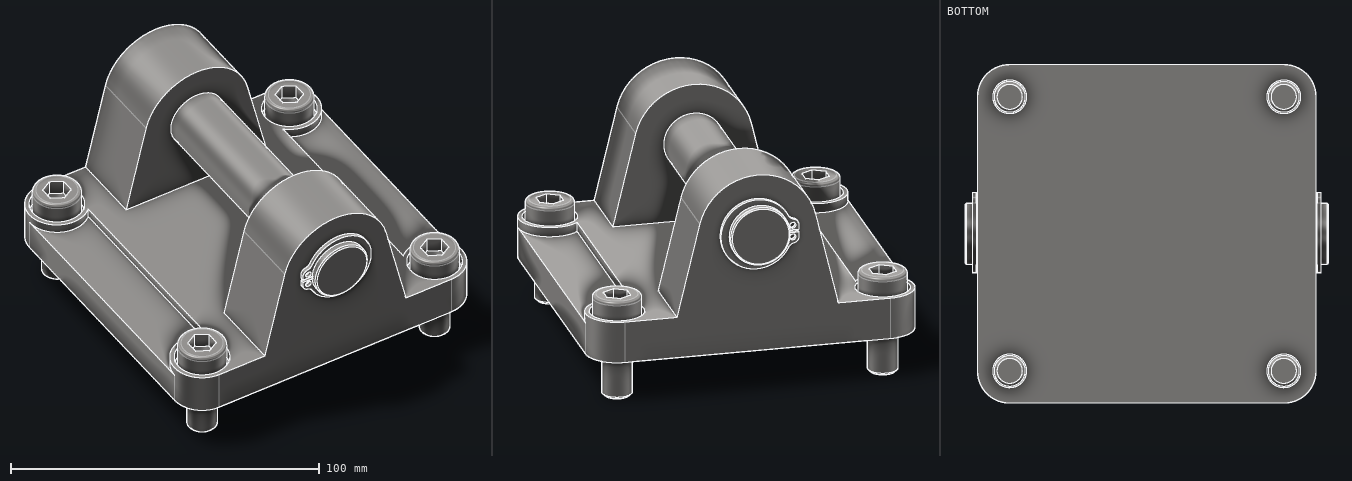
import cadquery as cq
import math


plate_side = 110.0
plate_thickness = 14.0
screw_offset = 44.5
corner_radius = plate_side / 2 - screw_offset
ledge_depth = 3.2
ledge_start = 37.3

ear_width = 25.0
ear_foot = 54.0
ear_height = 47.0
ear_top_radius = 20.0
ear_top_z = plate_thickness + ear_height
pin_z = ear_top_z - ear_top_radius

pin_length = 118.0
pin_diameter = 20.0
pin_chamfer = 0.5
groove_diameter = 19.0
groove_width = 1.3
groove_gap = 0.4
groove_start = plate_side / 2 + groove_gap

ring_diameter = 24.0
ring_shift = 0.7
ring_lug_radius = 2.1
ring_lug_y = -11.3
ring_lug_z = 2.0
ring_lug_hole = 2.0
ring_gap = 1.0
ring_neck_radius = 2.6

shank_diameter = 10.0
shank_hole_diameter = 11.0
shank_overhang = 15.0
shank_chamfer = 1.0
head_diameter = 16.0
head_height = 10.0
head_fillet = 1.2
counterbore_diameter = 18.0
counterbore_depth = 4.0
seat_z = plate_thickness - counterbore_depth
socket_flats = 8.0
socket_depth = 5.0
socket_cone_depth = 1.8

SCREW_POINTS = [(x, y) for x in (-screw_offset, screw_offset) for y in (-screw_offset, screw_offset)]


def x_cylinder(diameter, x_start, length, y=0.0, z=pin_z):
    """Cylinder along +X from x_start, centred on (y, z)."""
    return cq.Workplane("YZ", origin=(x_start, y, z)).circle(diameter / 2).extrude(length)


def make_plate():
    """Square plate with round corners and a ledge along both Y edges."""
    outline = cq.Sketch().rect(plate_side, plate_side).vertices().fillet(corner_radius)
    plate = cq.Workplane("XY").placeSketch(outline).extrude(plate_thickness)

    ledge_width = plate_side / 2 - ledge_start
    ledge_middle = ledge_start + ledge_width / 2
    ledge_floor = plate_thickness - ledge_depth
    ledges = (
        cq.Workplane("XY", origin=(0, 0, ledge_floor))
        .pushPoints([(0, -ledge_middle), (0, ledge_middle)])
        .rect(2 * screw_offset, ledge_width)
        .extrude(ledge_depth)
    )
    bosses = (
        cq.Workplane("XY", origin=(0, 0, ledge_floor))
        .pushPoints(SCREW_POINTS)
        .circle(corner_radius)
        .extrude(ledge_depth)
    )
    return plate.cut(ledges.cut(bosses))


def make_ear(x_start):
    """Tapered ear whose straight sides are tangent to its round top."""
    foot = ear_foot / 2
    centre_height = pin_z - plate_thickness
    foot_distance = math.hypot(foot, centre_height)
    tangent_angle = math.acos(ear_top_radius / foot_distance) - math.atan2(centre_height, foot)
    tangent_y = ear_top_radius * math.cos(tangent_angle)
    tangent_z = pin_z + ear_top_radius * math.sin(tangent_angle)
    return (
        cq.Workplane("YZ", origin=(x_start, 0, 0))
        .moveTo(-foot, plate_thickness)
        .lineTo(foot, plate_thickness)
        .lineTo(tangent_y, tangent_z)
        .threePointArc((0, ear_top_z), (-tangent_y, tangent_z))
        .close()
        .extrude(ear_width)
    )


def make_housing():
    """Plate and both ears, with the pin bore and the counterbored screw holes."""
    housing = make_plate()
    for x_start in (-plate_side / 2, plate_side / 2 - ear_width):
        housing = housing.union(make_ear(x_start))
    housing = housing.cut(x_cylinder(pin_diameter, -plate_side / 2, plate_side))

    screw_holes = (
        cq.Workplane("XY").pushPoints(SCREW_POINTS).circle(shank_hole_diameter / 2).extrude(plate_thickness)
    )
    counterbores = (
        cq.Workplane("XY", origin=(0, 0, seat_z))
        .pushPoints(SCREW_POINTS)
        .circle(counterbore_diameter / 2)
        .extrude(counterbore_depth)
    )
    return housing.cut(screw_holes).cut(counterbores)


def make_pin():
    """Pin with chamfered ends and a ring groove outside each ear."""
    pin = x_cylinder(pin_diameter, -pin_length / 2, pin_length)
    pin = pin.faces("<X or >X").chamfer(pin_chamfer)
    for x_start in (-groove_start - groove_width, groove_start):
        groove = x_cylinder(pin_diameter, x_start, groove_width)
        groove = groove.cut(x_cylinder(groove_diameter, x_start, groove_width))
        pin = pin.cut(groove)
    return pin


def make_ring(x_start):
    """Eccentric retaining ring, split between two lugs with plier holes on the -Y side."""
    lug_heights = (pin_z - ring_lug_z, pin_z + ring_lug_z)
    ring = x_cylinder(ring_diameter, x_start, groove_width, y=ring_shift)
    for z in lug_heights:
        ring = ring.union(x_cylinder(2 * ring_lug_radius, x_start, groove_width, ring_lug_y, z))

    lug_tips = cq.Workplane("YZ", origin=(x_start, ring_lug_y, pin_z))
    lug_tips = lug_tips.rect(2 * ring_lug_radius, 2 * ring_lug_z).extrude(groove_width)
    ring = ring.union(lug_tips)

    neck_y = ring_lug_y + ring_lug_radius / 2
    for side in (-1, 1):
        neck = cq.selectors.NearestToPointSelector(
            (x_start + groove_width / 2, neck_y, pin_z + side * (ring_lug_z + ring_lug_radius))
        )
        ring = ring.edges("|X").edges(neck).fillet(ring_neck_radius)

    ring = ring.cut(x_cylinder(groove_diameter, x_start, groove_width))
    for z in lug_heights:
        ring = ring.cut(x_cylinder(ring_lug_hole, x_start, groove_width, ring_lug_y, z))
    split = (
        cq.Workplane("YZ", origin=(x_start, -ring_diameter / 2, pin_z))
        .rect(ring_diameter, ring_gap)
        .extrude(groove_width)
    )
    return ring.cut(split)


def make_screw(x, y):
    """Socket head screw with a hexagon socket that ends in a cone."""
    head_top_z = seat_z + head_height
    head = cq.Workplane("XY", origin=(x, y, seat_z)).circle(head_diameter / 2).extrude(head_height)
    head = head.faces(">Z").edges().fillet(head_fillet)
    shank = (
        cq.Workplane("XY", origin=(x, y, -shank_overhang))
        .circle(shank_diameter / 2)
        .extrude(shank_overhang + seat_z)
        .faces("<Z")
        .chamfer(shank_chamfer)
    )

    socket_corners = socket_flats / math.cos(math.pi / 6)
    hexagon = (
        cq.Workplane("XY", origin=(x, y, head_top_z))
        .polygon(6, socket_corners)
        .extrude(-socket_depth - socket_cone_depth)
    )
    drill = (
        cq.Workplane("XZ")
        .moveTo(0, -socket_depth - socket_cone_depth)
        .lineTo(socket_corners / 2, -socket_depth)
        .lineTo(socket_corners / 2, 0)
        .lineTo(0, 0)
        .close()
        .revolve(360, (0, 0, 0), (0, 1, 0))
        .translate((x, y, head_top_z))
    )
    return head.union(shank).cut(hexagon.intersect(drill))


housing = make_housing()
pin = make_pin()
rings = [make_ring(x_start) for x_start in (-groove_start - groove_width, groove_start)]
screws = [make_screw(x, y) for x, y in SCREW_POINTS]

result = cq.Compound.makeCompound(
    [
        housing.solids().val(),
        pin.solids().val(),
        *[ring.solids().val() for ring in rings],
        *[screw.solids().val() for screw in screws],
    ]
)